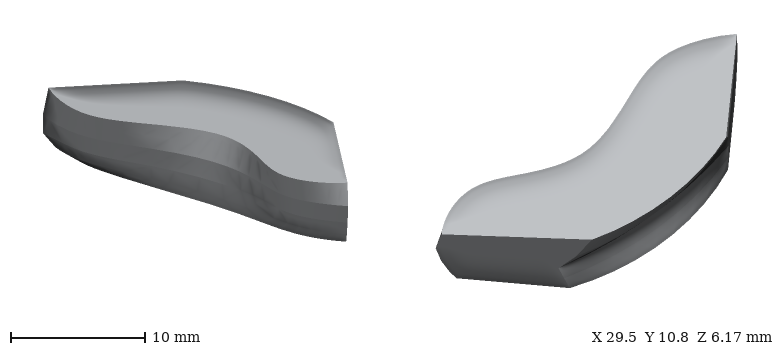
import cadquery as cq

end_apex_y = 11.107

top_height, top_slope_x, top_slope_y = 2.8, -0.015, 0.045
bottom_height, bottom_slope_y = -2.83, -0.055

bulge_z, valley_z, lower_z = 0.75, -0.75, -1.9


def top_face(x, y):
    return top_height + top_slope_x * x + top_slope_y * y


def bottom_face(x, y):
    return bottom_height + bottom_slope_y * y


def level(height):
    """Return the height function of a horizontal section."""
    return lambda x, y: height


def section(height_at, front_left_x, front_points, front_right_x, back_left_x, back_crown, back_right_x):
    """Wavy front edge and arched back edge, both running from the left to the right end face."""

    def lift(x, y):
        return cq.Vector(x, y, height_at(x, y))

    def on_end_face(x):
        return lift(x, end_apex_y - abs(x))

    front_left, front_right = on_end_face(front_left_x), on_end_face(front_right_x)
    back_left, back_right = on_end_face(back_left_x), on_end_face(back_right_x)
    front = [front_left] + [lift(x, y) for x, y in front_points] + [front_right]
    front_edge = cq.Edge.makeSpline(front)
    back_edge = cq.Edge.makeThreePointArc(back_left, lift(*back_crown), back_right)
    return front_edge, back_edge


def skin(edges):
    """Ruled strips joining each edge to the next one."""
    return [cq.Face.makeRuledSurface(lower, upper) for lower, upper in zip(edges, edges[1:])]


def flat_face(front_corners, back_corners):
    """Flat end face through the corners of all sections."""
    outline = cq.Wire.makePolygon(front_corners + back_corners[::-1], close=True)
    return cq.Face.makeFromWires(outline)


def cap(front_edge, back_edge):
    """Tilted top or bottom face, bounded by one section."""
    left = cq.Edge.makeLine(back_edge.startPoint(), front_edge.startPoint())
    right = cq.Edge.makeLine(front_edge.endPoint(), back_edge.endPoint())
    return cq.Face.makeFromWires(cq.Wire.assembleEdges([front_edge, right, back_edge, left]))


top_section = section(
    top_face,
    front_left_x=-14.45,
    front_points=[
        (-11.6, -4.9), (-9.15, -5.4), (-4.28, -3.98), (1.77, -2.27),
        (5.55, -3.42), (9.88, -5.2), (12.75, -4.55),
    ],
    front_right_x=14.43,
    back_left_x=-7.35,
    back_crown=(0.75, 5.43),
    back_right_x=6.5,
)
bulge_section = section(
    level(bulge_z),
    front_left_x=-14.75,
    front_points=[
        (-12.77, -4.55), (-9.74, -5.1), (-4.63, -4.07), (1.77, -3.05),
        (6.15, -3.92), (10.18, -5.02), (12.68, -4.57),
    ],
    front_right_x=14.75,
    back_left_x=-8.7,
    back_crown=(0.45, 4.42),
    back_right_x=7.38,
)
valley_section = section(
    level(valley_z),
    front_left_x=-14.75,
    front_points=[
        (-12.68, -4.22), (-9.74, -4.7), (-4.63, -3.8), (1.77, -3.2),
        (5.9, -3.63), (10.18, -4.6), (12.68, -4.13),
    ],
    front_right_x=14.45,
    back_left_x=-8.95,
    back_crown=(0.3, 3.55),
    back_right_x=8.25,
)
lower_section = section(
    level(lower_z),
    front_left_x=-14.1,
    front_points=[
        (-12.1, -3.7), (-9.45, -3.9), (-4.42, -3.42), (1.48, -3.2),
        (5.3, -3.5), (10.32, -4.05), (12.68, -3.55),
    ],
    front_right_x=14.05,
    back_left_x=-8.8,
    back_crown=(0.3, 4.05),
    back_right_x=7.96,
)
bottom_section = section(
    bottom_face,
    front_left_x=-13.15,
    front_points=[
        (-11.2, -2.8), (-8.85, -3.1), (-4.42, -3.2), (1.18, -3.2),
        (5.02, -3.45), (10.8, -3.72), (12.4, -3.25),
    ],
    front_right_x=13.65,
    back_left_x=-8.58,
    back_crown=(0.3, 4.6),
    back_right_x=7.67,
)

sections = [bottom_section, lower_section, valley_section, bulge_section, top_section]
front_edges = [front for front, back in sections]
back_edges = [back for front, back in sections]
left_end = flat_face([e.startPoint() for e in front_edges], [e.startPoint() for e in back_edges])
right_end = flat_face([e.endPoint() for e in front_edges], [e.endPoint() for e in back_edges])
faces = skin(front_edges) + skin(back_edges) + [left_end, right_end, cap(*bottom_section), cap(*top_section)]
result = cq.Workplane("XY").add(cq.Solid.makeSolid(cq.Shell.makeShell(faces)).fix())